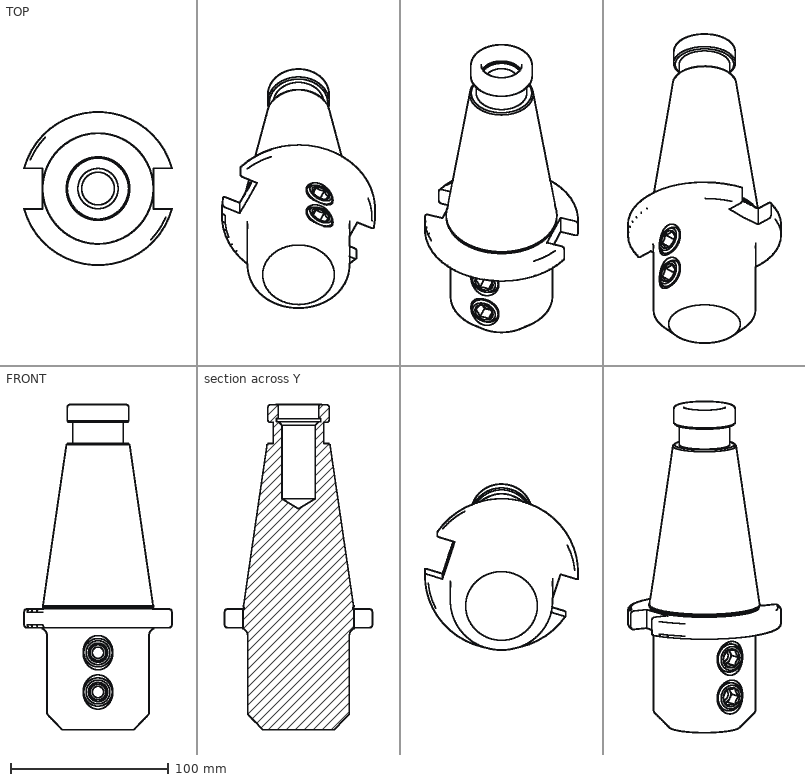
import math

import cadquery as cq


GAUGE_DIAMETER = 69.85
TAPER_RATE = 7 / 24
SHANK_LENGTH = 126.8
TAPER_LENGTH = 102.0
TAPER_TIP_CHAMFER = 1.0
TAPER_OVERRUN = 1.2

BAND_RADIUS = 35.3
BAND_HEIGHT = 0.6
BAND_CHAMFER = 0.6

NECK_RADIUS = 16.1
COLLAR_RADIUS = 19.6
COLLAR_HEIGHT = 11.5
COLLAR_TOP_FILLET = 2.0
COLLAR_BOTTOM_CHAMFER = 1.0

BORE_RADIUS = 12.8
BORE_MOUTH_FILLET = 1.5
BORE_GROOVE_RADIUS = 14.0
BORE_GROOVE_WIDTH = 2.0
BORE_DEPTH = 11.0
CENTRE_HALF_ANGLE = 45
THREAD_MINOR_RADIUS = 10.4
THREAD_HOLE_DEPTH = 60.0
DRILL_HALF_ANGLE = 59

FLANGE_RADIUS = 97.5 / 2
FLANGE_TOP = -3.2
FLANGE_THICKNESS = 12.0
FLANGE_FILLET = 2.0

SLOT_WIDTH = 25.7
SLOT_FLOOR = BAND_RADIUS

BODY_RADIUS = 32.5
BODY_LENGTH = 80.0
BODY_ROOT_RADIUS = 5.0
NOSE_RADIUS = 22.8
NOSE_LENGTH = 10.0
NOSE_EDGE_FILLET = 2.0

SELECTION_MARGIN = 0.1

SCREW_HEIGHTS = (24.0, 49.0)
SCREW_RADIUS = 9.0
SCREW_MOUTH_RADIUS = 10.9
SCREW_CHAMFER = 1.4
SCREW_PROTRUSION = 0.3
SCREW_LENGTH = 20.0
HEXAGON_SIDES = 6
SOCKET_ACROSS_FLATS = 10.0
SOCKET_TURN = 30
SOCKET_RIM_RADIUS = 6.1
SOCKET_DEPTH = 9.0
SOCKET_FLOOR_RADIUS = 3.6
SOCKET_POINT_HALF_ANGLE = 60


def taper_radius(z):
    return (GAUGE_DIAMETER - TAPER_RATE * z) / 2


def cone_length(large_radius, small_radius, half_angle):
    return (large_radius - small_radius) / math.tan(math.radians(half_angle))


def turned_body():
    collar_bottom = SHANK_LENGTH - COLLAR_HEIGHT
    chamfer_start = TAPER_LENGTH - TAPER_TIP_CHAMFER
    flange_bottom = FLANGE_TOP - FLANGE_THICKNESS
    band_bottom = -TAPER_OVERRUN - BAND_HEIGHT
    band_root_radius = BAND_RADIUS - BAND_CHAMFER
    nose_start = NOSE_LENGTH - BODY_LENGTH
    root_mid = BODY_ROOT_RADIUS * (1 - math.sqrt(0.5))
    root_end = flange_bottom - BODY_ROOT_RADIUS
    profile = (
        cq.Workplane("XZ")
        .moveTo(0, -BODY_LENGTH)
        .lineTo(NOSE_RADIUS, -BODY_LENGTH)
        .lineTo(BODY_RADIUS, nose_start)
        .lineTo(BODY_RADIUS, root_end)
        .threePointArc(
            (BODY_RADIUS + root_mid, flange_bottom - root_mid),
            (BODY_RADIUS + BODY_ROOT_RADIUS, flange_bottom),
        )
        .lineTo(FLANGE_RADIUS, flange_bottom)
        .lineTo(FLANGE_RADIUS, FLANGE_TOP)
        .lineTo(band_root_radius, FLANGE_TOP)
        .lineTo(band_root_radius, band_bottom - BAND_CHAMFER)
        .lineTo(BAND_RADIUS, band_bottom)
        .lineTo(BAND_RADIUS, -TAPER_OVERRUN)
        .lineTo(taper_radius(-TAPER_OVERRUN), -TAPER_OVERRUN)
        .lineTo(taper_radius(chamfer_start), chamfer_start)
        .lineTo(taper_radius(chamfer_start) - TAPER_TIP_CHAMFER, TAPER_LENGTH)
        .lineTo(NECK_RADIUS, TAPER_LENGTH)
        .lineTo(NECK_RADIUS, collar_bottom)
        .lineTo(COLLAR_RADIUS - COLLAR_BOTTOM_CHAMFER, collar_bottom)
        .lineTo(COLLAR_RADIUS, collar_bottom + COLLAR_BOTTOM_CHAMFER)
        .lineTo(COLLAR_RADIUS, SHANK_LENGTH)
        .lineTo(0, SHANK_LENGTH)
        .close()
    )
    body = profile.revolve(360, (0, 0, 0), (0, 1, 0))

    def circle_at(radius, z):
        reach = radius + SELECTION_MARGIN
        low_corner = (-reach, -reach, z - SELECTION_MARGIN)
        high_corner = (reach, reach, z + SELECTION_MARGIN)
        return cq.selectors.BoxSelector(low_corner, high_corner, boundingbox=True)

    body = body.edges(circle_at(COLLAR_RADIUS, SHANK_LENGTH)).fillet(COLLAR_TOP_FILLET)
    body = body.edges(cq.selectors.RadiusNthSelector(-1)).fillet(FLANGE_FILLET)
    return body.edges(circle_at(BODY_RADIUS, nose_start)).fillet(NOSE_EDGE_FILLET)


def draw_bar_bore():
    centre_end = BORE_DEPTH + cone_length(BORE_RADIUS, THREAD_MINOR_RADIUS, CENTRE_HALF_ANGLE)
    point_end = THREAD_HOLE_DEPTH + cone_length(THREAD_MINOR_RADIUS, 0, DRILL_HALF_ANGLE)
    groove_top = BORE_DEPTH - BORE_GROOVE_WIDTH
    mouth_mid = BORE_MOUTH_FILLET * (1 - math.sqrt(0.5))
    profile = (
        cq.Workplane("XZ")
        .moveTo(0, SHANK_LENGTH)
        .lineTo(BORE_RADIUS + BORE_MOUTH_FILLET, SHANK_LENGTH)
        .threePointArc(
            (BORE_RADIUS + mouth_mid, SHANK_LENGTH - mouth_mid),
            (BORE_RADIUS, SHANK_LENGTH - BORE_MOUTH_FILLET),
        )
        .lineTo(BORE_RADIUS, SHANK_LENGTH - groove_top)
        .lineTo(BORE_GROOVE_RADIUS, SHANK_LENGTH - groove_top)
        .lineTo(BORE_GROOVE_RADIUS, SHANK_LENGTH - BORE_DEPTH)
        .lineTo(BORE_RADIUS, SHANK_LENGTH - BORE_DEPTH)
        .lineTo(THREAD_MINOR_RADIUS, SHANK_LENGTH - centre_end)
        .lineTo(THREAD_MINOR_RADIUS, SHANK_LENGTH - THREAD_HOLE_DEPTH)
        .lineTo(0, SHANK_LENGTH - point_end)
        .close()
    )
    return profile.revolve(360, (0, 0, 0), (0, 1, 0))


def drive_slot(side):
    slot_depth = FLANGE_RADIUS - SLOT_FLOOR
    slot_bottom = FLANGE_TOP - FLANGE_THICKNESS - BODY_ROOT_RADIUS
    return (
        cq.Workplane("XY", origin=(side * (SLOT_FLOOR + slot_depth / 2), 0, slot_bottom))
        .rect(slot_depth, SLOT_WIDTH)
        .extrude(FLANGE_TOP - slot_bottom)
    )


def screw_hole(z):
    """Countersunk hole for a clamping screw, opening toward -Y."""
    countersink_depth = SCREW_MOUTH_RADIUS - SCREW_RADIUS
    screw_end = SCREW_LENGTH - SCREW_PROTRUSION
    profile = cq.Workplane("XY", origin=(0, -BODY_RADIUS, z)).polyline([
        (0, 0),
        (SCREW_MOUTH_RADIUS, 0),
        (SCREW_RADIUS, countersink_depth),
        (SCREW_RADIUS, screw_end),
        (0, screw_end),
    ]).close()
    return profile.revolve(360, (0, 0, 0), (0, 1, 0))


def clamping_screw(z):
    """Chamfered screw end with a hexagon socket, its face toward -Y."""
    flat_radius = SOCKET_ACROSS_FLATS / 2
    rim_depth = SOCKET_RIM_RADIUS - flat_radius
    point_end = SOCKET_DEPTH + cone_length(flat_radius, SOCKET_FLOOR_RADIUS, SOCKET_POINT_HALF_ANGLE)
    face = cq.Workplane("XZ", origin=(0, -BODY_RADIUS - SCREW_PROTRUSION, z))
    screw = face.circle(SCREW_RADIUS).extrude(-SCREW_LENGTH).faces("<Y").chamfer(SCREW_CHAMFER)
    profile = cq.Workplane("XY", origin=(0, -BODY_RADIUS - SCREW_PROTRUSION, z)).polyline([
        (0, 0),
        (SOCKET_RIM_RADIUS, 0),
        (flat_radius, rim_depth),
        (flat_radius, SOCKET_DEPTH),
        (SOCKET_FLOOR_RADIUS, point_end),
        (0, point_end),
    ]).close()
    round_socket = profile.revolve(360, (0, 0, 0), (0, 1, 0))
    hexagon = (
        face.transformed(rotate=(0, 0, SOCKET_TURN))
        .polygon(HEXAGON_SIDES, SOCKET_ACROSS_FLATS, circumscribed=True)
        .extrude(-SOCKET_DEPTH)
    )
    return screw.cut(round_socket).cut(hexagon)


result = turned_body().cut(draw_bar_bore())
for slot_side in (-1, 1):
    result = result.cut(drive_slot(slot_side))
for screw_height in SCREW_HEIGHTS:
    screw_z = screw_height - BODY_LENGTH
    result = result.cut(screw_hole(screw_z)).union(clamping_screw(screw_z))